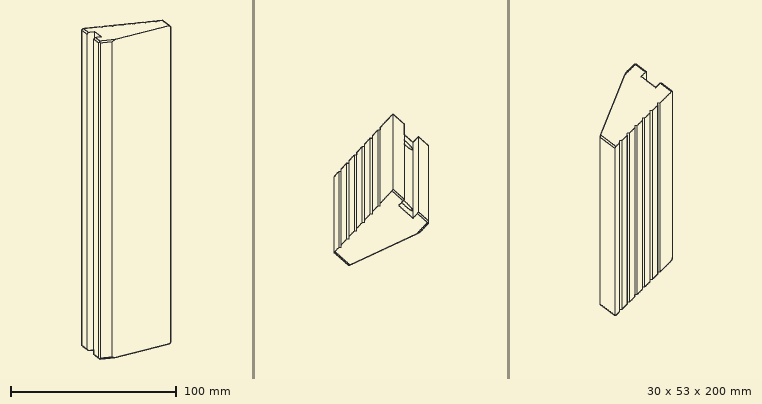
import cadquery as cq
import math

height = 200.0
width = 30.0
depth = 53.0
back_width = 12.0
side_depth = 8.5
edge_chamfer = 1.0

channel_width = 11.5
channel_depth = 5.0
channel_center = width / 2

hole_diameter = 11.0
hole_depth = 20.0
hole_end_offset = 20.0
drill_point_angle = 118.0

groove_count = 6
groove_pitch = 7.0
first_groove_y = 12.5
groove_width = 2.0
groove_depth = 1.0


def make_body():
    outline = [
        (0, 0),
        (width, 0),
        (width, side_depth),
        (back_width, depth),
        (0, depth),
    ]
    body = cq.Workplane("XY").polyline(outline).close().extrude(height)
    body = body.faces("<Y").edges("|X or >X").chamfer(edge_chamfer)
    body = body.faces(">X").edges("|Y").chamfer(edge_chamfer)
    return body.faces(">Y").edges("|X").chamfer(edge_chamfer)


def make_channel():
    return (
        cq.Workplane("XY")
        .center(channel_center, channel_depth / 2)
        .rect(channel_width, channel_depth)
        .extrude(height)
    )


def make_hole(z):
    radius = hole_diameter / 2
    tip_length = radius / math.tan(math.radians(drill_point_angle / 2))
    return (
        cq.Workplane("XY")
        .polyline([(0, 0), (radius, 0), (radius, hole_depth), (0, hole_depth + tip_length)])
        .close()
        .revolve(360, (0, 0), (0, 1))
        .translate((channel_center, channel_depth, z))
    )


def make_groove(y):
    half_width = groove_width / 2
    return (
        cq.Workplane("XY")
        .polyline([(0, y - half_width), (groove_depth, y), (0, y + half_width)])
        .close()
        .extrude(height)
    )


result = make_body().cut(make_channel())
for hole_z in (hole_end_offset, height - hole_end_offset):
    result = result.cut(make_hole(hole_z))
for index in range(groove_count):
    result = result.cut(make_groove(first_groove_y + index * groove_pitch))